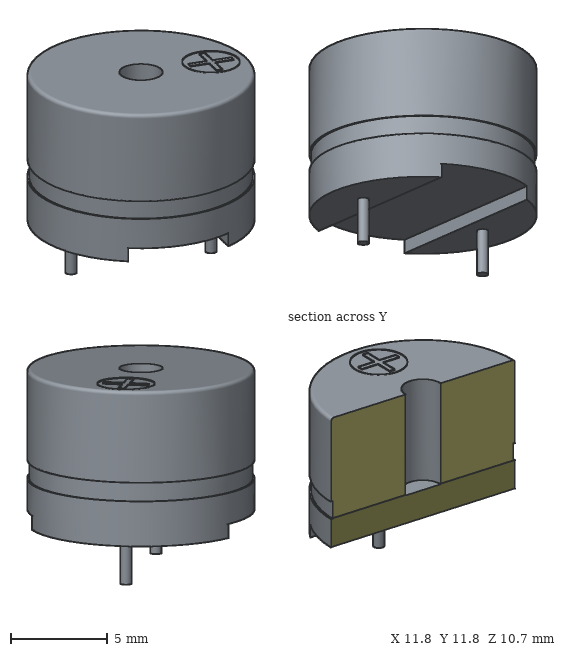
import cadquery as cq

body_diameter = 11.85
total_height = 10.65
pin_length = 2.4
base_height = 2.39
base_top = pin_length + base_height

neck_diameter = 11.65
neck_height = 1.0
rim_radius = 0.2
sound_hole_diameter = 2.25

mark_diameter = 3.0
mark_depth = 0.05
plus_length = 2.4
plus_width = 0.33

slot_width = 5.62
slot_depth = 0.75

pin_diameter = 0.6
pin_offset = 3.92


def cylinder(diameter, bottom, height, y=0.0):
    """Upright cylinder centred on X = 0."""
    return cq.Workplane("XY", origin=(0, y, bottom)).circle(diameter / 2).extrude(height)


def make_polarity_recess():
    """Material to remove from the cap so that the plus is left standing."""
    floor = total_height - mark_depth
    recess = cylinder(mark_diameter, floor, mark_depth, pin_offset)
    plane = cq.Workplane("XY", origin=(0, pin_offset, floor))
    for size_x, size_y in ((plus_length, plus_width), (plus_width, plus_length)):
        recess = recess.cut(plane.rect(size_x, size_y).extrude(mark_depth))
    return recess


def make_cap():
    """Drum with a rounded top rim, a neck, a sound hole and a polarity mark."""
    drum_bottom = base_top + neck_height
    drum = cylinder(body_diameter, drum_bottom, total_height - drum_bottom)
    drum = drum.faces(">Z").edges().fillet(rim_radius)
    cap = drum.union(cylinder(neck_diameter, base_top, neck_height))
    cap = cap.cut(cylinder(sound_hole_diameter, base_top, total_height - base_top))
    return cap.cut(make_polarity_recess())


def make_base():
    """Round base plate with a slot along X through its underside."""
    base = cylinder(body_diameter, pin_length, base_height)
    slot_plane = cq.Workplane("XY", origin=(0, 0, pin_length))
    return base.cut(slot_plane.rect(body_diameter, slot_width).extrude(slot_depth))


def make_pin(y):
    """Contact pin hanging from the underside of the base."""
    return cylinder(pin_diameter, 0, pin_length, y)


cap = make_cap()
base = make_base()
pins = [make_pin(side * pin_offset).val() for side in (-1, 1)]

result = cq.Compound.makeCompound([cap.val(), base.val(), *pins])